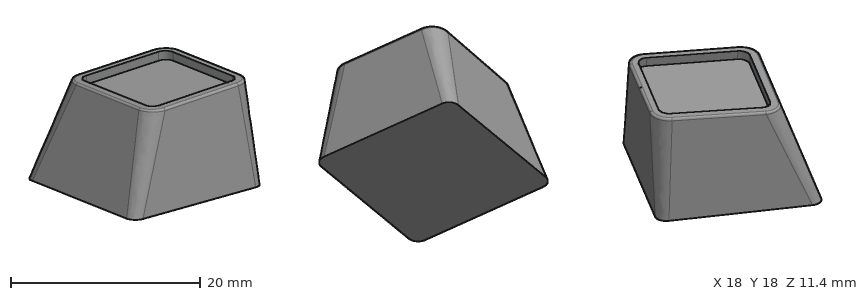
import cadquery as cq
import math

base_size = 18.0
half_base = base_size / 2
base_corner_radius = 1.22

side_draft = 10.0
front_draft = 20.0
side_lean = math.tan(math.radians(side_draft))
front_lean = math.tan(math.radians(front_draft))

back_height = 11.41
top_slope = 2.5
top_fall = math.tan(math.radians(top_slope))
top_corner_radius = 2.03
edge_fillet = 0.3

rim_width = 1.0
dish_depth = 1.0
dish_corner_radius = 1.1

trim_allowance = 0.18
blank_height = back_height + trim_allowance


def half_width_at(height):
    """Half the distance between the leaning side walls at a given height."""
    return half_base - height * side_lean


def tapered_blank():
    """Ruled body from the base outline to a smaller, rounder outline at blank_height."""
    front_inset = blank_height * front_lean
    top_width = 2 * half_width_at(blank_height)
    top_depth = base_size - front_inset
    base = cq.Sketch().rect(base_size, base_size).vertices().fillet(base_corner_radius)
    top = cq.Sketch().rect(top_width, top_depth).vertices().fillet(top_corner_radius)
    top_location = cq.Location(cq.Vector(0, front_inset / 2, blank_height))
    return cq.Workplane("XY").placeSketch(base, top.moved(top_location)).loft(ruled=True)


def slope_trim():
    """Everything above the sloping plane of the top face."""
    front_height = back_height - base_size * top_fall
    clear_height = blank_height + trim_allowance
    outline = [
        (half_base, back_height),
        (-half_base, front_height),
        (-half_base, clear_height),
        (half_base, clear_height),
    ]
    return cq.Workplane("YZ").polyline(outline).close().extrude(half_base, both=True)


def dish():
    """Pocket one rim width inside the top outline, with walls square to the top face."""
    slope_angle = math.radians(top_slope)
    top_run = (base_size - back_height * front_lean) / (1 - top_fall * front_lean)
    top_length = top_run / math.cos(slope_angle)

    def dish_half_width(slope_distance):
        return half_width_at(back_height - slope_distance * math.sin(slope_angle)) - rim_width

    back = rim_width
    front = top_length - rim_width
    outline = [
        (-dish_half_width(back), -back),
        (dish_half_width(back), -back),
        (dish_half_width(front), -front),
        (-dish_half_width(front), -front),
        (-dish_half_width(back), -back),
    ]
    top_plane = cq.Plane(
        origin=(0, half_base, back_height),
        xDir=(1, 0, 0),
        normal=(0, -math.sin(slope_angle), math.cos(slope_angle)),
    )
    profile = cq.Sketch().polygon(outline).vertices().fillet(dish_corner_radius)
    return cq.Workplane(top_plane).placeSketch(profile).extrude(-dish_depth)


body = tapered_blank().cut(slope_trim())
result = body.faces(">Z").edges().fillet(edge_fillet).cut(dish())